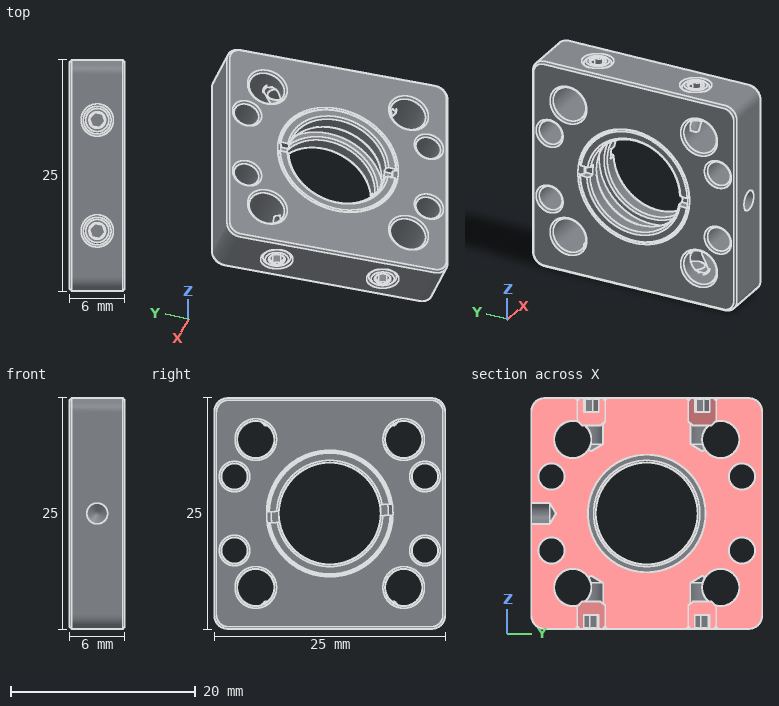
import cadquery as cq
import math

width = 25.0
thickness = 6.0
half_width = width / 2
half_thickness = thickness / 2
corner_radius = 1.5
edge_chamfer = 0.25

hole_chamfer = 0.25
rod_hole_diameter = 4.0
rod_hole_offset = 8.0
screw_hole_diameter = 2.8
screw_hole_offset_y = 10.3
screw_hole_offset_z = 4.0

bore_diameter = 12.7
bore_chamfer = 0.5

drill_tip_angle = 118.0

side_hole_diameter = 2.25
side_hole_straight_depth = 2.0

ring_outer_diameter = 13.6
ring_inner_diameter = 11.0
ring_thickness = 2.0
ring_chamfer = 0.25
ring_slot_width = 1.2
ring_slot_depth = 0.9
ring_slot_angle = 3.7

set_screw_offset_y = 6.0
set_screw_diameter = 3.0
set_screw_length = 3.0
set_screw_head_chamfer = 0.25
set_screw_tip_chamfer = 0.5
socket_width = 1.5
socket_depth = 1.5
socket_mouth_diameter = 1.8
socket_angle = -12.0
socket_corner_diameter = socket_width / math.cos(math.radians(30))

tapped_hole_chamfer = 0.25
tapped_hole_core_diameter = 2.5
tapped_hole_end_z = 7.5
screw_tip_z = half_width - set_screw_length


def chamfered_hole(diameter, chamfer, y, z):
    """Cutter along X through the plate, with a 45 degree chamfer at both ends."""
    radius = diameter / 2
    mouth_radius = radius + chamfer
    profile = [
        (-half_thickness, 0),
        (-half_thickness, mouth_radius),
        (-half_thickness + chamfer, radius),
        (half_thickness - chamfer, radius),
        (half_thickness, mouth_radius),
        (half_thickness, 0),
    ]
    cutter = cq.Workplane("XY").polyline(profile).close().revolve(360, (0, 0, 0), (1, 0, 0))
    return cutter.translate((0, y, z))


def make_side_hole():
    """Cutter for the drilled hole in the -Y side, with a conical end."""
    radius = side_hole_diameter / 2
    cone_y = -half_width + side_hole_straight_depth
    tip_y = cone_y + radius / math.tan(math.radians(drill_tip_angle / 2))
    profile = [(0, -half_width), (radius, -half_width), (radius, cone_y), (0, tip_y)]
    return cq.Workplane("XY").polyline(profile).close().revolve(360, (0, 0, 0), (0, 1, 0))


def make_tapped_hole():
    """Cutter for the tapped hole in the top side at Y = 0, with a seat for the screw tip."""
    radius = set_screw_diameter / 2
    core_radius = tapped_hole_core_diameter / 2
    seat_z = screw_tip_z + set_screw_tip_chamfer
    tip_z = tapped_hole_end_z - core_radius / math.tan(math.radians(drill_tip_angle / 2))
    profile = [
        (0, half_width),
        (radius + tapped_hole_chamfer, half_width),
        (radius, half_width - tapped_hole_chamfer),
        (radius, seat_z),
        (core_radius, seat_z - (radius - core_radius)),
        (core_radius, tapped_hole_end_z),
        (0, tip_z),
    ]
    return cq.Workplane("XZ").polyline(profile).close().revolve(360, (0, 0, 0), (0, 1, 0))


def make_set_screw():
    """Socket set screw with a flat point, flush with the top side at Y = 0."""
    radius = set_screw_diameter / 2
    profile = [
        (0, half_width),
        (radius - set_screw_head_chamfer, half_width),
        (radius, half_width - set_screw_head_chamfer),
        (radius, screw_tip_z + set_screw_tip_chamfer),
        (radius - set_screw_tip_chamfer, screw_tip_z),
        (0, screw_tip_z),
    ]
    body = cq.Workplane("XZ").polyline(profile).close().revolve(360, (0, 0, 0), (0, 1, 0))
    socket = (
        cq.Workplane("XY", origin=(0, 0, half_width))
        .polygon(6, socket_corner_diameter)
        .extrude(-socket_depth)
        .rotate((0, 0, 0), (0, 0, 1), socket_angle)
    )
    mouth_radius = socket_mouth_diameter / 2
    countersink_profile = [(0, half_width), (mouth_radius, half_width), (0, half_width - mouth_radius)]
    countersink = cq.Workplane("XZ").polyline(countersink_profile).close().revolve(360, (0, 0, 0), (0, 1, 0))
    return body.cut(socket).cut(countersink)


def at_set_screw_places(shape):
    """Copies of a shape from the top side at Y = 0, moved to the two top and two bottom places."""
    copies = []
    for y in (-set_screw_offset_y, set_screw_offset_y):
        for turn in (0, 180):
            copies.append(shape.rotate((0, 0, 0), (0, 1, 0), turn).translate((0, y, 0)))
    return copies


def make_front_ring():
    """Slotted retaining ring in the -X mouth of the bore."""
    outline = cq.Workplane("YZ", origin=(-half_thickness, 0, 0)).circle(ring_outer_diameter / 2)
    ring = outline.circle(ring_inner_diameter / 2).extrude(ring_thickness)
    ring = ring.faces("<X or >X").chamfer(ring_chamfer)
    slot = (
        cq.Workplane("YZ", origin=(-half_thickness, 0, 0))
        .rect(ring_outer_diameter, ring_slot_width)
        .extrude(ring_slot_depth)
        .rotate((0, 0, 0), (1, 0, 0), ring_slot_angle)
    )
    return ring.cut(slot)


def make_rings():
    """The ring in the -X mouth and its mirror image in the +X mouth."""
    front_ring = make_front_ring()
    return [front_ring, front_ring.mirror("YZ")]


def make_housing(rings):
    """Square plate with its holes, and seats cut to the shape of the rings."""
    plate = cq.Workplane("YZ").rect(width, width).extrude(half_thickness, both=True)
    plate = plate.edges("|X").fillet(corner_radius)
    plate = plate.faces("<X or >X").chamfer(edge_chamfer)
    plate = plate.cut(chamfered_hole(bore_diameter, bore_chamfer, 0, 0))
    for side_y in (-1, 1):
        for side_z in (-1, 1):
            rod_y = side_y * rod_hole_offset
            rod_z = side_z * rod_hole_offset
            plate = plate.cut(chamfered_hole(rod_hole_diameter, hole_chamfer, rod_y, rod_z))
            screw_y = side_y * screw_hole_offset_y
            screw_z = side_z * screw_hole_offset_z
            plate = plate.cut(chamfered_hole(screw_hole_diameter, hole_chamfer, screw_y, screw_z))
    for tapped_hole in at_set_screw_places(make_tapped_hole()):
        plate = plate.cut(tapped_hole)
    for ring in rings:
        plate = plate.cut(ring)
    return plate.cut(make_side_hole())


rings = make_rings()
housing = make_housing(rings)
set_screws = at_set_screw_places(make_set_screw())

result = cq.Compound.makeCompound(
    [
        housing.val(),
        *[ring.val() for ring in rings],
        *[set_screw.val() for set_screw in set_screws],
    ]
)